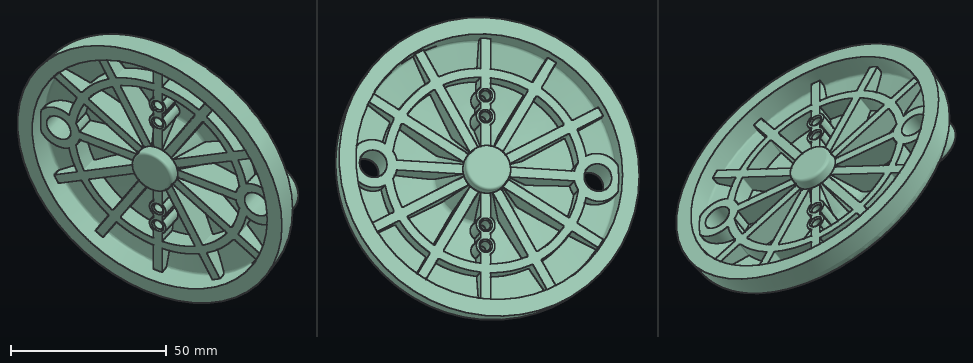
import cadquery as cq
import math


rim_radius = 49.5
height = 18.0
skirt_height = 6.5
skirt_top_radius = 49.0
dome_edge_radius = 46.5
dome_edge_y = 9.8
dome_sphere_radius = 128.7
shoulder_fillet = 3.4

wall_radius = 44.0
wall_draft = 1.5
floor_edge_y = 7.6
floor_sphere_radius = 138.6
wall_corner_fillet = 1.0

cone_base_radius = 15.3
cone_fillet = 1.5
hub_radius = 7.5
hub_front_y = 1.0
hub_fillet = 1.0
hub_length = 8.9

rib_front_y = 4.95
rib_count = 12
rib_width = 3.3
ring_outer_radius = 33.9
ring_inner_radius = 30.9
ring_corner_fillet = 0.4
rib_depth = height - rib_front_y

hole_offset = 37.0
hole_diameter = 9.0
sleeve_radius = 7.9
lug_offset = 36.4
lug_radius = 10.1
lug_back_y = 16.6
lug_fillet = 2.1
lug_flare = 7.0

pillar_offsets = (18.0, 24.9)
pillar_radius = 3.1
screw_mouth_radius = 2.2
screw_bore_radius = 1.7
screw_tip_radius = 0.5
screw_bore_depth = 6.9
screw_tip_depth = 1.4


def sphere_y(radius, sphere_radius, edge_radius, edge_y):
    """Height at a radius of an axis-centred sphere that passes through (edge_radius, edge_y)."""
    center_y = edge_y - math.sqrt(sphere_radius**2 - edge_radius**2)
    return center_y + math.sqrt(sphere_radius**2 - radius**2)


def dome_point(radius):
    return (radius, sphere_y(radius, dome_sphere_radius, dome_edge_radius, dome_edge_y))


def floor_point(radius):
    return (radius, sphere_y(radius, floor_sphere_radius, wall_radius, floor_edge_y))


def revolved(profile):
    return profile.close().revolve(360, (0, 0, 0), (0, 1, 0))


def circle_at(y):
    """Selector for the circular edge, centred on the part axis, nearest to a height."""
    return cq.NearestToPointSelector((0, y, 0))


def along_y(start_y):
    """Workplane facing +Y, with local x along X and local y along -Z."""
    return cq.Workplane("XZ", origin=(0, start_y, 0)).transformed(rotate=(180, 0, 0))


def outer_body():
    center_y = dome_point(0)[1] - dome_sphere_radius
    flat_radius = math.sqrt(dome_sphere_radius**2 - (height - center_y) ** 2)
    middle = dome_point((flat_radius + dome_edge_radius) / 2)
    profile = (
        cq.Workplane("XY")
        .lineTo(rim_radius, 0)
        .lineTo(skirt_top_radius, skirt_height)
        .radiusArc((dome_edge_radius, dome_edge_y), -shoulder_fillet)
        .threePointArc(middle, (flat_radius, height))
        .lineTo(0, height)
    )
    return revolved(profile)


def cavity():
    corner_radius = wall_radius - floor_edge_y * math.tan(math.radians(wall_draft))
    corner = floor_point(corner_radius)
    cone_base = floor_point(cone_base_radius)
    middle = floor_point((corner_radius + cone_base_radius) / 2)
    profile = (
        cq.Workplane("XY")
        .lineTo(wall_radius, 0)
        .lineTo(*corner)
        .threePointArc(middle, cone_base)
        .lineTo(hub_radius, rib_front_y)
        .lineTo(0, rib_front_y)
    )
    blank = revolved(profile)
    blank = blank.edges(circle_at(corner[1])).fillet(wall_corner_fillet)
    return blank.edges(circle_at(cone_base[1])).fillet(cone_fillet)


def lug(side):
    """Round-ended pad on the dome, flaring toward the part axis."""
    flare = math.radians(lug_flare)
    tangent_x = lug_offset + lug_radius * math.sin(flare)
    tangent_z = lug_radius * math.cos(flare)
    root_z = tangent_z + tangent_x * math.tan(flare)
    pad = (
        along_y(rib_front_y)
        .moveTo(0, root_z)
        .lineTo(side * tangent_x, tangent_z)
        .threePointArc((side * (lug_offset + lug_radius), 0), (side * tangent_x, -tangent_z))
        .lineTo(0, -root_z)
        .close()
        .extrude(lug_back_y - rib_front_y)
    )
    flanks_and_end = pad.faces(">Y").edges("not |Z")
    return flanks_and_end.fillet(lug_fillet)


def rib_bar(angle):
    """Rib across the whole cavity, turned about the part axis."""
    bar = along_y(rib_front_y).rect(2 * wall_radius, rib_width).extrude(rib_depth)
    return bar.rotate((0, 0, 0), (0, 1, 0), angle)


def is_ring_corner(edge):
    """True for an edge near the ring, away from the rib ends and the hub."""
    center = edge.Center()
    radius = math.hypot(center.x, center.z)
    return ring_inner_radius - rib_width < radius < ring_outer_radius + rib_width


def ribs():
    """Ring and ribs; only the slanted ribs have rounded corners where they meet the ring."""
    angles = [i * 360 / rib_count for i in range(rib_count // 2)]
    web = along_y(rib_front_y).circle(ring_outer_radius).circle(ring_inner_radius).extrude(rib_depth)
    for angle in angles:
        if angle % 90 != 0:
            web = web.union(rib_bar(angle))
    web = web.edges("|Y").filter(is_ring_corner).fillet(ring_corner_fillet)
    web = web.union(rib_bar(0)).union(rib_bar(90))
    sleeves = along_y(rib_front_y).pushPoints(hole_centers).circle(sleeve_radius).extrude(rib_depth)
    pillars = along_y(rib_front_y).pushPoints(pillar_centers).circle(pillar_radius).extrude(rib_depth)
    return web.union(sleeves).union(pillars)


def hub():
    post = along_y(hub_front_y).circle(hub_radius).extrude(hub_length)
    return post.faces("<Y").edges().fillet(hub_fillet)


def screw_hole(z):
    bore_end_y = rib_front_y + screw_bore_depth
    mouth_end_y = rib_front_y + screw_mouth_radius - screw_bore_radius
    profile = (
        cq.Workplane("XY")
        .moveTo(0, rib_front_y)
        .lineTo(screw_mouth_radius, rib_front_y)
        .lineTo(screw_bore_radius, mouth_end_y)
        .lineTo(screw_bore_radius, bore_end_y)
        .lineTo(screw_tip_radius, bore_end_y + screw_tip_depth)
        .lineTo(0, bore_end_y + screw_tip_depth)
    )
    return revolved(profile).translate((0, 0, z))


hole_centers = [(side * hole_offset, 0) for side in (-1, 1)]
pillar_centers = [(0, side * offset) for side in (-1, 1) for offset in pillar_offsets]

cavity_space = cavity()
result = outer_body()
for side in (-1, 1):
    result = result.union(lug(side))
result = result.cut(cavity_space)
result = result.union(ribs().intersect(cavity_space)).union(hub())

result = result.cut(along_y(0).pushPoints(hole_centers).circle(hole_diameter / 2).extrude(height))
for _, z in pillar_centers:
    result = result.cut(screw_hole(z))